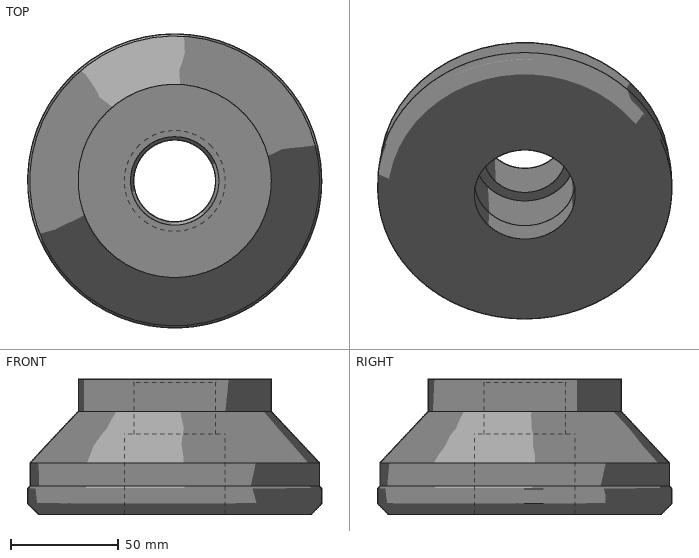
import cadquery as cq

total_height = 63.0
pad_radius = 137.02 / 2
pad_height = 13.2

neck_radius = 45.0
skirt_radius = 67.5
skirt_top = 24.0
neck_bottom = 48.0

bore_radius = 19.0
bore_chamfer = 1.6
counterbore_radius = 23.5
counterbore_top = 37.5

pad_top_chamfer = pad_radius - skirt_radius
pad_bottom_chamfer = 5.0
pad_edge_round = 0.5


def make_hub():
    """Flared hub standing on the pad, with a chamfered bore and a counterbore from below."""
    profile = (
        cq.Workplane("XZ")
        .moveTo(counterbore_radius, pad_height)
        .lineTo(skirt_radius, pad_height)
        .lineTo(skirt_radius, skirt_top)
        .lineTo(neck_radius, neck_bottom)
        .lineTo(neck_radius, total_height)
        .lineTo(bore_radius + bore_chamfer, total_height)
        .lineTo(bore_radius, total_height - bore_chamfer)
        .lineTo(bore_radius, counterbore_top)
        .lineTo(counterbore_radius, counterbore_top)
        .close()
    )
    return profile.revolve(360, (0, 0, 0), (0, 1, 0))


def make_pad():
    """Annular pad under the hub, chamfered above and below with every outer edge below its top rounded."""
    disc = cq.Workplane("XY").circle(pad_radius).extrude(pad_height)
    chamfered = (
        disc.faces(">Z").edges().chamfer(pad_top_chamfer)
        .faces("<Z").edges().chamfer(pad_bottom_chamfer)
    )
    rounded = chamfered.edges("%CIRCLE").edges("not >Z").fillet(pad_edge_round)
    return rounded.cut(cq.Workplane("XY").circle(counterbore_radius).extrude(pad_height))


hub = make_hub()
pad = make_pad()

result = cq.Compound.makeCompound([hub.val(), pad.val()])